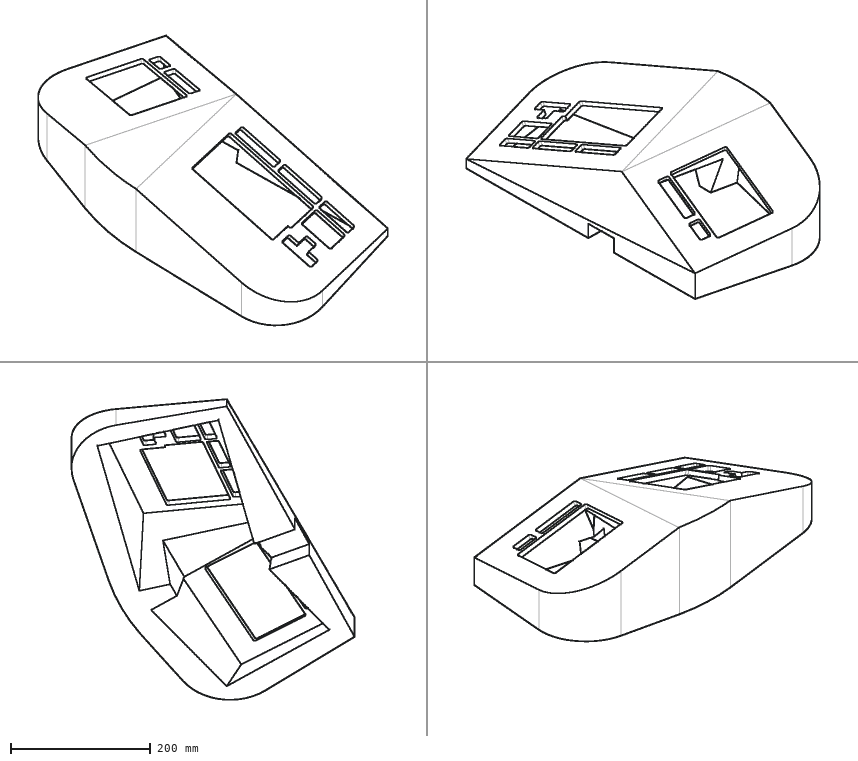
import cadquery as cq

apex = cq.Vector(-41.0, 100.5, 111.0)
left_rear = cq.Vector(-229.0, 135.5, 45.0)
right_rear = cq.Vector(233.0, 146.0, 16.5)
left_ridge_front = cq.Vector(-96.5, -141.0, 142.5)
right_ridge_front = cq.Vector(12.5, -142.0, 142.5)
nose_y = -146.0

left_corner_radius = 82.5
right_corner_radius = 81.0
stock_height = 215.0
trim_size = 2148.0

panel_thickness = 8.0
ridge_margin = 20.0
outer_margin = 15.0
hollow_front = 193.5
hollow_depth = 322.0

passage_width = 96.5
passage_height = 72.0
passage_front = -64.5
passage_rear_bottom = 72.0
passage_rear_top = 81.0

tunnel_left = -65.0
tunnel_width = 51.5
tunnel_front = 53.5
tunnel_height = 25.0

opening_corner_radius = 2.5
small_row = (37.0, 55.0)
main_row = (60.0, 154.5)
outer_column = (202.5, 258.5)

left_openings = [
    ((35.0, 165.5), main_row),
    ((38.5, 114.0), small_row),
    ((124.0, 157.0), small_row),
]

main_start = 35.5
main_end = 197.0
main_step = 5.5
main_step_row = 117.0

tee_stem = (220.5, 239.5)
tee_stem_rear = 108.0
tee_bar_row = (127.5, 146.0)

right_openings = [
    ((41.0, 115.5), small_row),
    ((123.0, 196.0), small_row),
    (outer_column, small_row),
    (outer_column, (60.5, 98.0)),
    ((main_start, main_end - main_step), main_row),
    ((main_start, main_end), (main_row[0], main_step_row)),
    (outer_column, tee_bar_row),
    (tee_stem, (tee_stem_rear, tee_bar_row[1])),
]


def flat(point):
    return (point.x, point.y)


def plane_through(origin, along, across):
    """Plane through three points, with x from the first to the second and z upward."""
    normal = (along - origin).cross(across - origin)
    if normal.z < 0:
        normal = normal * -1
    return cq.Plane(origin=origin, xDir=along - origin, normal=normal)


def block_above(plane):
    return cq.Workplane(plane).rect(trim_size, trim_size).extrude(trim_size / 2)


def make_body():
    """Upright outline trimmed by both panels, the wedge between them and the rear slope."""
    left_corner = left_ridge_front + left_rear - apex
    right_corner = right_ridge_front + right_rear - apex
    nose = ((left_ridge_front.x + right_ridge_front.x) / 2, nose_y)
    body = (
        cq.Workplane("XY")
        .moveTo(*flat(left_rear))
        .lineTo(*flat(left_corner))
        .lineTo(*flat(left_ridge_front))
        .threePointArc(nose, flat(right_ridge_front))
        .lineTo(*flat(right_corner))
        .lineTo(*flat(right_rear))
        .close()
        .extrude(stock_height)
    )
    rounded_corners = ((left_corner, left_corner_radius), (right_corner, right_corner_radius))
    for corner, radius in rounded_corners:
        nearest = cq.selectors.NearestToPointSelector((corner.x, corner.y, stock_height / 2))
        body = body.edges("|Z").edges(nearest).fillet(radius)
    wedge = plane_through(apex, left_ridge_front, right_ridge_front)
    rear_slope = plane_through(apex, left_rear, right_rear)
    for plane in (left_panel, right_panel, wedge, rear_slope):
        body = body.cut(block_above(plane))
    return body


def panel_box(panel, along, forward, top, bottom):
    """Box square to a panel, between two depths below the panel surface."""
    forward_sign = 1 if panel.yDir.y < 0 else -1
    return (
        cq.Workplane(panel)
        .workplane(offset=-top)
        .moveTo(sum(along) / 2, forward_sign * sum(forward) / 2)
        .rect(along[1] - along[0], forward[1] - forward[0])
        .extrude(top - bottom)
    )


def make_opening(panel, along, forward):
    box = panel_box(panel, along, forward, -panel_thickness, 2 * panel_thickness)
    upright_edges = cq.selectors.ParallelDirSelector(panel.zDir)
    return box.edges(upright_edges).fillet(opening_corner_radius)


def make_hollow(panel, rear_corner):
    along = (ridge_margin, (rear_corner - apex).Length - outer_margin)
    forward = (outer_margin, hollow_front)
    return panel_box(panel, along, forward, panel_thickness, hollow_depth)


def make_passage():
    """Channel along X whose rear face leans back above the tunnel."""
    profile = [
        (passage_front, 0),
        (passage_front, passage_height),
        (passage_rear_top, passage_height),
        (passage_rear_bottom, tunnel_height),
        (passage_rear_bottom, 0),
    ]
    start = apex.x - passage_width / 2
    return cq.Workplane("YZ").workplane(offset=start).polyline(profile).close().extrude(passage_width)


def make_tunnel():
    length = right_rear.y - tunnel_front
    tunnel = cq.Workplane("XY").box(tunnel_width, length, tunnel_height, centered=False)
    return tunnel.translate((tunnel_left, tunnel_front, 0))


left_panel = plane_through(apex, left_rear, left_ridge_front)
right_panel = plane_through(apex, right_rear, right_ridge_front)

result = make_body()
result = result.cut(make_hollow(left_panel, left_rear))
result = result.cut(make_hollow(right_panel, right_rear))
result = result.cut(make_passage())
result = result.cut(make_tunnel())
for panel, openings in ((left_panel, left_openings), (right_panel, right_openings)):
    for along, forward in openings:
        result = result.cut(make_opening(panel, along, forward))